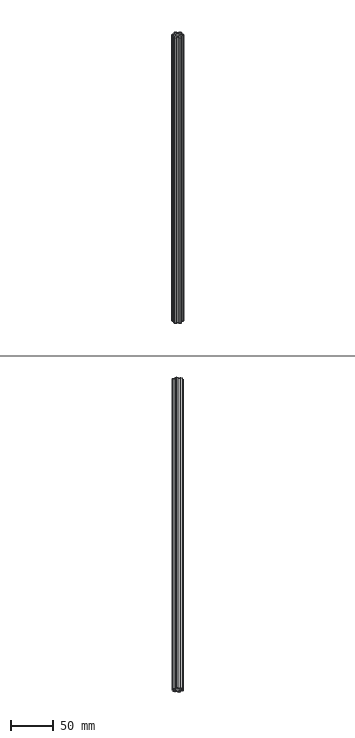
import math

import cadquery as cq

ACROSS_FLATS = 12.7
LENGTH = 400.05
BORE_DIAMETER = 5.87
GROOVE_DIAMETER = 3.175
SIDES = 6

apothem = ACROSS_FLATS / 2
across_corners = ACROSS_FLATS / math.cos(math.pi / SIDES)
side_angle = 360 / SIDES


def make_hexagon_bar():
    """Hexagonal bar standing on Z = 0, with two of its corners on the X axis."""
    return cq.Workplane("XY").polygon(SIDES, across_corners).extrude(LENGTH)


def make_bore():
    """Round bore along the whole bar axis."""
    return cq.Workplane("XY").circle(BORE_DIAMETER / 2).extrude(LENGTH)


def make_grooves():
    """Rods, one centred on the middle of each flat, that leave half-round grooves."""
    return (
        cq.Workplane("XY")
        .polarArray(apothem, side_angle / 2, 360, SIDES)
        .circle(GROOVE_DIAMETER / 2)
        .extrude(LENGTH)
    )


result = make_hexagon_bar().cut(make_bore()).cut(make_grooves())